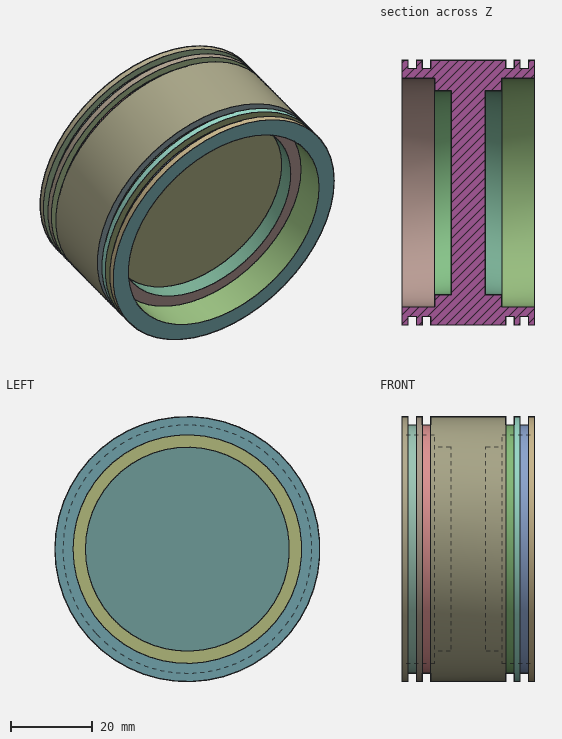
import cadquery as cq

width = 32.5
outer_diameter = 65.0

land_width = 1.5
groove_width = 2.0
groove_depth = 2.0
grooves_per_end = 2

mouth_diameter = 56.0
mouth_depth = 8.0
recess_diameter = 50.0
recess_depth = 12.0


def disc(start, length, diameter):
    """Solid disc on the X axis, extending in +X from start."""
    return cq.Workplane("YZ", origin=(start, 0, 0)).circle(diameter / 2).extrude(length)


def end_cuts():
    """Grooves and stepped recess of the -X end."""
    left = -width / 2
    cuts = disc(left, mouth_depth, mouth_diameter)
    cuts = cuts.union(disc(left, recess_depth, recess_diameter))
    groove_floor_diameter = outer_diameter - 2 * groove_depth
    for index in range(grooves_per_end):
        start = left + land_width + index * (land_width + groove_width)
        ring = disc(start, groove_width, outer_diameter)
        ring = ring.cut(disc(start, groove_width, groove_floor_diameter))
        cuts = cuts.union(ring)
    return cuts


left_cuts = end_cuts()
right_cuts = left_cuts.mirror("YZ")
result = disc(-width / 2, width, outer_diameter).cut(left_cuts).cut(right_cuts)